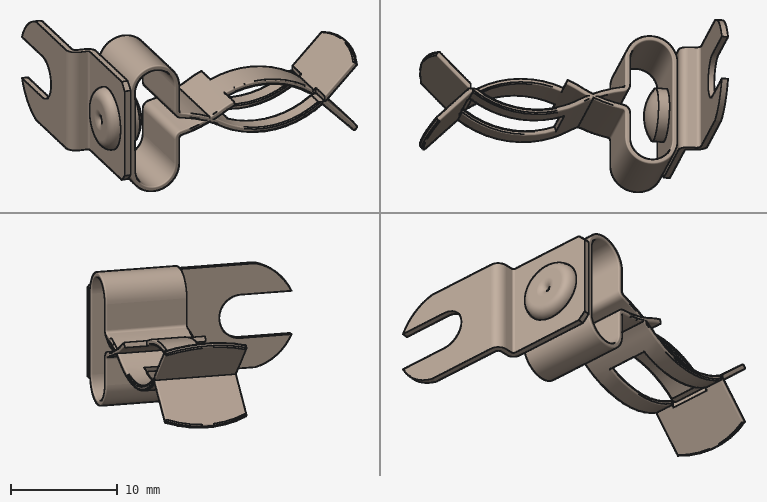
import cadquery as cq
import math


LUG_THICKNESS = 0.6
LUG_HEIGHT = 10.0
LUG_OFFSET = 2.5
FORK_TIP_X = -16.53
FORK_ARC_START_X = -12.98
FORK_ARC_MID = (-15.17, 3.9)
FORK_SLOT_WIDTH = 4.18
FORK_SLOT_END_X = -9.43
WEB_TOP_X = -5.27
WEB_LEAN = 0.1
UPPER_BEND_RADIUS = 0.2
LOWER_BEND_RADIUS = 0.42
PAD_CHAMFER = 0.7

CLIP_WIDTH = 8.0
CLIP_HEIGHT = 12.8
STRIP_THICKNESS = 0.5
STRIP_EDGE_RADIUS = 0.13
LOBE_DEPTH = 5.0
NECK_BEND_RADIUS = 0.55
NECK_ARC_RADIUS = 12.27
JAW_ARC_RADIUS = 9.09
JAW_PEAK_Y = 16.42
JAW_PEAK_Z = 1.9
NECK_SLOPE_ANGLE = 30.6
TONGUE_WIDTH = 3.6
WINDOW_WIDTH = 4.02
WINDOW_START_Y = 13.05
WINDOW_END_Y = 22.2
FLARE_ROOT_Y = 22.04
FLARE_ANGLE = 45.0
FLARE_TIP_SAG = 0.9
OVERALL_LENGTH = 26.1

RIVET_SHANK_RADIUS = 2.5
RIVET_HEAD_RADIUS = 3.0
RIVET_HEAD_HEIGHT = 1.0
DIMPLE_RADIUS = 1.0
DIMPLE_DEPTH = 0.78
SHANK_END_Y = 4.05
DOME_HEIGHT = 0.9

CLIP_HALF_WIDTH = CLIP_WIDTH / 2
HALF_THICKNESS = STRIP_THICKNESS / 2
PAD_FRONT_Y = LUG_OFFSET - LUG_THICKNESS
BASE_Y = LUG_OFFSET + HALF_THICKNESS
NECK_Y = LUG_OFFSET + LOBE_DEPTH - HALF_THICKNESS
LOBE_RADIUS = (NECK_Y - BASE_Y) / 2
LOBE_CENTRE_Y = (NECK_Y + BASE_Y) / 2
LOBE_CENTRE_Z = CLIP_HEIGHT / 2 - HALF_THICKNESS - LOBE_RADIUS
RAIL_WIDTH = (CLIP_WIDTH - WINDOW_WIDTH) / 2
RAIL_CENTRE_X = (CLIP_WIDTH + WINDOW_WIDTH) / 4


def arc_point(centre, radius, angle):
    """Point of a plane circle, angle in degrees from its first axis towards its second."""
    turn = math.radians(angle)
    return centre[0] + radius * math.cos(turn), centre[1] + radius * math.sin(turn)


def angle_between(centre, point):
    return math.degrees(math.atan2(point[1] - centre[1], point[0] - centre[0]))


def joggled_strip():
    """Pad, leaning web and fork plate as one bent strip of constant height."""
    def web_x(y):
        return WEB_TOP_X + WEB_LEAN * (y - PAD_FRONT_Y)

    outline = [
        (FORK_TIP_X, 0),
        (web_x(0) + LUG_THICKNESS, 0),
        (web_x(PAD_FRONT_Y) + LUG_THICKNESS, PAD_FRONT_Y),
        (CLIP_HALF_WIDTH, PAD_FRONT_Y),
        (CLIP_HALF_WIDTH, LUG_OFFSET),
        (web_x(LUG_OFFSET), LUG_OFFSET),
        (web_x(LUG_THICKNESS), LUG_THICKNESS),
        (FORK_TIP_X, LUG_THICKNESS),
    ]
    strip = cq.Workplane("XY").polyline(outline).close().extrude(LUG_HEIGHT / 2, both=True)

    def vertical_edge(point):
        return cq.selectors.NearestToPointSelector((point[0], point[1], 0))

    bends = [
        (outline[1], LOWER_BEND_RADIUS + LUG_THICKNESS),
        (outline[2], UPPER_BEND_RADIUS),
        (outline[5], UPPER_BEND_RADIUS + LUG_THICKNESS),
        (outline[6], LOWER_BEND_RADIUS),
    ]
    for corner, radius in bends:
        strip = strip.edges("|Z").edges(vertical_edge(corner)).fillet(radius)
    return strip


def lug_face_outline():
    """Outline of the lug across its height: rounded fork shoulders and chamfered pad corners."""
    top_z = LUG_HEIGHT / 2
    slot_z = FORK_SLOT_WIDTH / 2
    slot_centre_x = FORK_SLOT_END_X - slot_z
    mid_x, mid_z = FORK_ARC_MID
    return (
        cq.Workplane("XZ")
        .moveTo(FORK_TIP_X, slot_z)
        .threePointArc((mid_x, mid_z), (FORK_ARC_START_X, top_z))
        .lineTo(CLIP_HALF_WIDTH - PAD_CHAMFER, top_z)
        .lineTo(CLIP_HALF_WIDTH, top_z - PAD_CHAMFER)
        .lineTo(CLIP_HALF_WIDTH, PAD_CHAMFER - top_z)
        .lineTo(CLIP_HALF_WIDTH - PAD_CHAMFER, -top_z)
        .lineTo(FORK_ARC_START_X, -top_z)
        .threePointArc((mid_x, -mid_z), (FORK_TIP_X, -slot_z))
        .lineTo(slot_centre_x, -slot_z)
        .threePointArc((FORK_SLOT_END_X, 0), (slot_centre_x, slot_z))
        .close()
        .extrude(-LUG_OFFSET)
    )


def rivet_hole():
    return cq.Workplane("XZ").circle(RIVET_SHANK_RADIUS).extrude(-SHANK_END_Y)


def make_lug():
    return joggled_strip().intersect(lug_face_outline()).cut(rivet_hole())


JAW_CENTRE = (JAW_PEAK_Y, JAW_PEAK_Z - JAW_ARC_RADIUS)
JAW_START_ANGLE = 90 + NECK_SLOPE_ANGLE
NECK_CENTRE = arc_point(JAW_CENTRE, JAW_ARC_RADIUS + NECK_ARC_RADIUS, JAW_START_ANGLE)
BEND_CENTRE_Y = NECK_Y + NECK_BEND_RADIUS
BEND_CENTRE = (
    BEND_CENTRE_Y,
    NECK_CENTRE[1]
    - math.sqrt((NECK_ARC_RADIUS + NECK_BEND_RADIUS) ** 2 - (NECK_CENTRE[0] - BEND_CENTRE_Y) ** 2),
)
WINDOW_START_ANGLE = math.degrees(math.acos((WINDOW_START_Y - JAW_PEAK_Y) / JAW_ARC_RADIUS))
JAW_END_ANGLE = math.degrees(math.asin((-HALF_THICKNESS - JAW_CENTRE[1]) / JAW_ARC_RADIUS))


def arc_to(path, centre, radius, start_angle, end_angle):
    middle = arc_point(centre, radius, (start_angle + end_angle) / 2)
    return path.threePointArc(middle, arc_point(centre, radius, end_angle))


def strip_section(width):
    """Cross-section of the sheet strip, with rounded corners."""
    return cq.Sketch().rect(width, STRIP_THICKNESS).vertices().fillet(STRIP_EDGE_RADIUS)


def sweep_strip(path, plane, width):
    """Sweep the strip's rounded section along a path starting at the plane's origin."""
    return cq.Workplane(plane).placeSketch(strip_section(width)).sweep(path)


def lobe_and_neck():
    """Full width strip from the middle of the base, round the lobe and over the neck to the window."""
    bend_end_angle = angle_between(BEND_CENTRE, NECK_CENTRE)
    neck_start_angle = bend_end_angle - 180
    neck_end_angle = JAW_START_ANGLE - 180
    path = cq.Workplane("YZ").moveTo(BASE_Y, 0).lineTo(BASE_Y, -LOBE_CENTRE_Z)
    path = arc_to(path, (LOBE_CENTRE_Y, -LOBE_CENTRE_Z), LOBE_RADIUS, 180, 360)
    path = path.lineTo(NECK_Y, BEND_CENTRE[1])
    path = arc_to(path, BEND_CENTRE, NECK_BEND_RADIUS, 180, bend_end_angle)
    path = arc_to(path, NECK_CENTRE, NECK_ARC_RADIUS, neck_start_angle, neck_end_angle)
    path = arc_to(path, JAW_CENTRE, JAW_ARC_RADIUS, JAW_START_ANGLE, WINDOW_START_ANGLE)
    plane = cq.Plane(origin=(0, BASE_Y, 0), xDir=(1, 0, 0), normal=(0, 0, -1))
    return sweep_strip(path, plane, CLIP_WIDTH)


def jaw_strip(centre_x, width):
    """Narrow strip along the jaw arc, from the window start to the contact face."""
    start = arc_point(JAW_CENTRE, JAW_ARC_RADIUS, WINDOW_START_ANGLE)
    heading = math.radians(WINDOW_START_ANGLE - 90)
    plane = cq.Plane(
        origin=(centre_x, *start), xDir=(1, 0, 0), normal=(0, math.cos(heading), math.sin(heading))
    )
    path = cq.Workplane("YZ", origin=(centre_x, 0, 0)).moveTo(*start)
    path = arc_to(path, JAW_CENTRE, JAW_ARC_RADIUS, WINDOW_START_ANGLE, JAW_END_ANGLE)
    return sweep_strip(path, plane, width)


def flared_lip(jaw_spans):
    """Flared lip with a curved tip; before the window end it is only as wide as the jaw strips."""
    turn = math.radians(FLARE_ANGLE)
    rounded_corner = STRIP_EDGE_RADIUS + (HALF_THICKNESS - STRIP_EDGE_RADIUS) * math.sin(turn)
    tip_run = OVERALL_LENGTH - FLARE_ROOT_Y - rounded_corner
    length = tip_run / math.cos(turn) + STRIP_EDGE_RADIUS
    lip_plane = cq.Plane(
        origin=(0, FLARE_ROOT_Y, 0), xDir=(1, 0, 0), normal=(0, -math.sin(turn), math.cos(turn))
    )
    start_plane = cq.Plane(
        origin=lip_plane.toWorldCoords((0, -STRIP_THICKNESS, 0)), xDir=(1, 0, 0), normal=lip_plane.yDir
    )
    section = strip_section(CLIP_WIDTH)
    strip = cq.Workplane(start_plane).placeSketch(section).extrude(STRIP_THICKNESS + length)
    tip_radius = (CLIP_HALF_WIDTH ** 2 + FLARE_TIP_SAG ** 2) / (2 * FLARE_TIP_SAG)
    tip_disc = (
        cq.Workplane(lip_plane)
        .center(0, length - tip_radius)
        .circle(tip_radius)
        .extrude(HALF_THICKNESS, both=True)
        .edges("%CIRCLE")
        .fillet(STRIP_EDGE_RADIUS)
    )
    lip = strip.intersect(tip_disc)

    root_size = 4 * STRIP_THICKNESS
    keep = cq.Workplane().box(CLIP_WIDTH, OVERALL_LENGTH, CLIP_HEIGHT, centered=(True, False, True))
    keep = keep.translate((0, WINDOW_END_Y, 0))
    for centre_x, width in jaw_spans:
        root = cq.Workplane().box(width, root_size, root_size)
        keep = keep.union(root.translate((centre_x, WINDOW_END_Y, 0)))
    return lip.intersect(keep)


def jaw(jaw_spans):
    """Jaw strips and lip, trimmed flat where they rest on the opposite jaw at Z = 0."""
    body = flared_lip(jaw_spans)
    for centre_x, width in jaw_spans:
        body = body.union(jaw_strip(centre_x, width))
    above = cq.Workplane().box(
        2 * CLIP_WIDTH, 2 * OVERALL_LENGTH, CLIP_HEIGHT, centered=(True, True, False)
    )
    return body.intersect(above)


def make_clip():
    tongue_span = [(0, TONGUE_WIDTH)]
    rail_spans = [(-RAIL_CENTRE_X, RAIL_WIDTH), (RAIL_CENTRE_X, RAIL_WIDTH)]
    tongue_half = lobe_and_neck().union(jaw(tongue_span))
    rail_half = lobe_and_neck().union(jaw(rail_spans)).mirror("XY")
    return tongue_half.union(rail_half).cut(rivet_hole())


def make_rivet():
    """Round-edged head with a flared dimple, shank through pad and clip, and domed end."""
    head_front_y = PAD_FRONT_Y - RIVET_HEAD_HEIGHT
    head_flat_radius = RIVET_HEAD_RADIUS - RIVET_HEAD_HEIGHT
    dome_top_y = SHANK_END_Y + DOME_HEIGHT
    dome_radius = (RIVET_SHANK_RADIUS ** 2 + DOME_HEIGHT ** 2) / (2 * DOME_HEIGHT)
    dome_half_angle = math.degrees(math.asin(RIVET_SHANK_RADIUS / dome_radius))
    dimple_arc_radius = (DIMPLE_RADIUS ** 2 + DIMPLE_DEPTH ** 2) / (2 * DIMPLE_DEPTH)
    dimple_arc_centre = (DIMPLE_RADIUS, head_front_y + dimple_arc_radius)
    dimple_half_angle = math.degrees(math.asin(DIMPLE_RADIUS / dimple_arc_radius)) / 2
    dimple_mid = arc_point(dimple_arc_centre, dimple_arc_radius, 270 - dimple_half_angle)
    edge_mid = arc_point((head_flat_radius, PAD_FRONT_Y), RIVET_HEAD_HEIGHT, -45)
    dome_mid = arc_point((0, dome_top_y - dome_radius), dome_radius, 90 - dome_half_angle / 2)
    return (
        cq.Workplane("XY")
        .moveTo(0, head_front_y + DIMPLE_DEPTH)
        .threePointArc(dimple_mid, (DIMPLE_RADIUS, head_front_y))
        .lineTo(head_flat_radius, head_front_y)
        .threePointArc(edge_mid, (RIVET_HEAD_RADIUS, PAD_FRONT_Y))
        .lineTo(RIVET_SHANK_RADIUS, PAD_FRONT_Y)
        .lineTo(RIVET_SHANK_RADIUS, SHANK_END_Y)
        .threePointArc(dome_mid, (0, dome_top_y))
        .close()
        .revolve(360, (0, 0, 0), (0, 1, 0))
    )


lug = make_lug()
clip = make_clip()
rivet = make_rivet()

result = cq.Compound.makeCompound([lug.solids().val(), clip.solids().val(), rivet.val()])